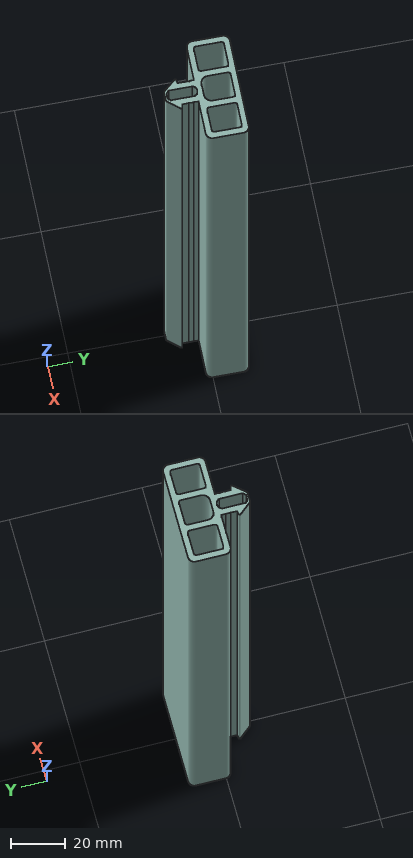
import cadquery as cq

length = 200.0
body_width = 40.0
body_depth = 16.0
total_depth = 27.5
wall = 2.5
body_corner_radius = 2.5

cell_count = 3
cell_corner_radius = 1.0
middle_cell_front_radius = 2.8

slot_half_width = 2.0
slot_back_recess = 0.5
slot_back_rise = 1.5
slot_front_chamfer = 1.0
nose_wall = 0.8
nose_half_width = 2.0
nose_corner_radius = 1.0
barb_half_width = 6.5
barb_root_gap = 6.0
barb_hook_rise = 0.5
barb_tip_radius = 0.5

groove_width = 1.2
groove_depth = 0.1
groove_gaps = (1.8, 3.5)

back_y = total_depth / 2
body_front_y = back_y - body_depth
nose_y = -total_depth / 2
body_center_y = (back_y + body_front_y) / 2

cell_width = (body_width - (cell_count + 1) * wall) / cell_count
cell_depth = body_depth - 2 * wall
cell_pitch = cell_width + wall
stem_half_width = slot_half_width + wall


def mirrored_prism(right_side):
    """Extrude an outline given by its +X points, mirrored about X = 0."""
    left_side = [(-x, y) for x, y in reversed(right_side)]
    return cq.Workplane("XY").polyline(right_side + left_side).close().extrude(length)


def make_body():
    block = cq.Workplane("XY").center(0, body_center_y).rect(body_width, body_depth).extrude(length)
    return block.edges("|Z").fillet(body_corner_radius)


def make_stem():
    barb_root_y = body_front_y - barb_root_gap
    stem = mirrored_prism([
        (stem_half_width, body_center_y - cell_depth / 2 - wall / 2),
        (stem_half_width, barb_root_y),
        (barb_half_width, barb_root_y - barb_hook_rise),
        (nose_half_width, nose_y),
    ])
    stem = stem.edges("|Z and <Y").fillet(nose_corner_radius)
    return stem.edges("|Z and (<X or >X)").fillet(barb_tip_radius)


def make_groove_pair(gap):
    """V-shaped cutters for both flanks, a given gap in front of the body."""
    center_y = body_front_y - gap
    groove = (
        cq.Workplane("XY")
        .moveTo(stem_half_width, center_y + groove_width / 2)
        .lineTo(stem_half_width - groove_depth, center_y)
        .lineTo(stem_half_width, center_y - groove_width / 2)
        .close()
        .extrude(length)
    )
    return groove.union(groove.mirror("YZ"))


def make_cell(index):
    """Cut-out for one cell; the middle one is rounder on the stem side."""
    offset = index - (cell_count - 1) / 2
    cell = (
        cq.Workplane("XY")
        .center(offset * cell_pitch, body_center_y)
        .rect(cell_width, cell_depth)
        .extrude(length)
    )
    front_radius = middle_cell_front_radius if offset == 0 else cell_corner_radius
    cell = cell.edges("|Z and >Y").fillet(cell_corner_radius)
    return cell.edges("|Z and <Y").fillet(front_radius)


def make_slot():
    """Opening along the stem, arched at the body end and chamfered at the nose."""
    slot_back_y = body_front_y + slot_back_recess
    slot_front_y = nose_y + nose_wall
    arch_y = slot_back_y - slot_back_rise
    chamfer_x = slot_half_width - slot_front_chamfer
    chamfer_y = slot_front_y + slot_front_chamfer
    return (
        cq.Workplane("XY")
        .moveTo(slot_half_width, arch_y)
        .threePointArc((0, slot_back_y), (-slot_half_width, arch_y))
        .lineTo(-slot_half_width, chamfer_y)
        .lineTo(-chamfer_x, slot_front_y)
        .lineTo(chamfer_x, slot_front_y)
        .lineTo(slot_half_width, chamfer_y)
        .close()
        .extrude(length)
    )


result = make_body().union(make_stem())
for cell_index in range(cell_count):
    result = result.cut(make_cell(cell_index))
result = result.cut(make_slot())
for groove_gap in groove_gaps:
    result = result.cut(make_groove_pair(groove_gap))